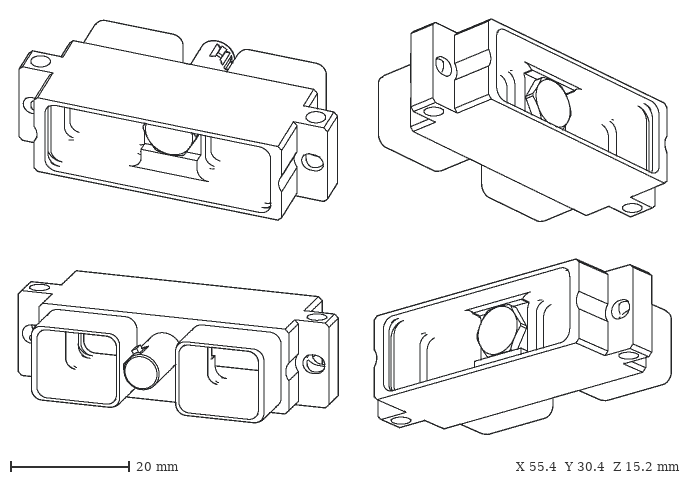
import cadquery as cq
import math


flange_length = 55.4
body_width = 44.5
body_height = 15.2
body_depth = 18.0
edge_chamfer = 0.65
flange_front = 7.8
flange_thickness = 5.05
flange_mid = flange_front + flange_thickness / 2

cross_hole_diameter = 3.3
cross_hole_x = 24.7
slot_length = 3.9
slot_height = 3.25
slot_x = 25.0
groove_height = 3.15
groove_depth = 0.55

cavity_width = 40.5
cavity_height = 13.5
corner_radius = 2.05
undercut_front = 1.55
undercut_back = 2.95
undercut_width = 41.8
undercut_radius = 2.55

post_width = 10.1
post_front = 5.7
bay_width = (cavity_width - post_width) / 2
bay_x = (cavity_width + post_width) / 4

seat_start = 8.15
seat_end = 9.25
seat_height = 12.85
seat_radius = 1.8
funnel_start = 9.85
funnel_end = 11.2
window_width = 14.2
window_height = 12.15
window_radius = 1.85

hood_x = 12.85
hood_width = 16.05
hood_height = 13.5
hood_end = 26.8
hood_bevel_length = 0.8
hood_bevel_inset = 0.15

screw_z = 1.5
rod_diameter = 6.25
rod_end = 30.35
rod_chamfer = 0.3
head_pocket_height = 8.8
head_pocket_floor = 7.55
head_flats = 8.5
head_corner_diameter = 9.55
head_chamfer = 0.3
head_turn = 30

pin_angles = (0, 60)
pin_y = 27.35
pin_length = 2.0
pin_thickness = 1.0
pin_reach = 3.75
flat_reach = 2.8
flat_outer_length = 3.8
flat_inner_length = 2.65

overlap = 0.55


def section(y):
    """Workplane at depth y with local axes X and Z; negative extrusions run towards +Y."""
    plane = cq.Plane(origin=(0, y, 0), xDir=(1, 0, 0), normal=(0, -1, 0))
    return cq.Workplane(plane)


def rounded_block(width, height, radius, y_start, y_end, x=0.0):
    """Block along Y with rounded lengthwise edges."""
    block = section(y_start).center(x, 0).rect(width, height).extrude(y_start - y_end)
    return block.edges("|Y").fillet(radius)


def rounded_funnel(front_size, back_size, y_start, y_end, x):
    """Tapered passage between two rounded rectangles given as (width, height, radius)."""
    front_profile = cq.Sketch().rect(*front_size[:2]).vertices().fillet(front_size[2])
    back_profile = cq.Sketch().rect(*back_size[:2]).vertices().fillet(back_size[2])
    front_location = cq.Location(cq.Vector(x, y_start, 0), cq.Vector(1, 0, 0), 90)
    back_location = cq.Location(cq.Vector(x, y_end, 0), cq.Vector(1, 0, 0), 90)
    return cq.Workplane().placeSketch(
        front_profile.moved(front_location), back_profile.moved(back_location)
    ).loft()


def chamfered_block(width, y_start, y_end):
    """Full-height block with its four lengthwise edges chamfered."""
    block = section(y_start).rect(width, body_height).extrude(y_start - y_end)
    return block.edges("|Y").chamfer(edge_chamfer)


def make_housing():
    housing = chamfered_block(body_width, 0, body_depth)
    groove_radius = ((groove_height / 2) ** 2 + groove_depth**2) / (2 * groove_depth)
    groove_x = body_width / 2 - groove_depth + groove_radius
    grooves = (
        section(0).pushPoints([(-groove_x, 0), (groove_x, 0)]).circle(groove_radius).extrude(-body_depth)
    )
    flange = chamfered_block(flange_length, flange_front, flange_front + flange_thickness)
    return housing.cut(grooves).union(flange)


def make_hood(x):
    """Rounded hood behind one bay, with a shallow bevel around its rear end."""
    hood = rounded_block(hood_width, hood_height, corner_radius, body_depth - overlap, hood_end, x)
    rear_edges = hood.faces(">Y").edges().vals()
    return hood.newObject([hood.val().chamfer(hood_bevel_length, hood_bevel_inset, rear_edges)])


def make_bay_passage(x):
    """Bay behind the open cavity, stepping in to the window through the hood."""
    bay_size = (bay_width, cavity_height, corner_radius)
    seat_step = (cavity_height - seat_height) / 2
    taper_size = (bay_width - 2 * seat_step, seat_height, corner_radius - seat_step)
    seat_size = (bay_width, seat_height, seat_radius)
    window_size = (window_width, window_height, window_radius)
    passage = rounded_block(*bay_size, undercut_back, seat_start, x)
    passage = passage.union(rounded_funnel(bay_size, taper_size, seat_start, seat_end, x))
    passage = passage.union(rounded_block(*seat_size, seat_start, funnel_start, x))
    passage = passage.union(rounded_funnel(seat_size, window_size, funnel_start, funnel_end, x))
    return passage.union(rounded_block(*window_size, funnel_end, hood_end + overlap, x))


def make_cavity():
    cavity = rounded_block(cavity_width, cavity_height, corner_radius, 0, post_front)
    undercut = rounded_block(undercut_width, cavity_height, undercut_radius, undercut_front, undercut_back)
    head_pocket = (
        section(post_front - overlap)
        .center(0, screw_z)
        .rect(post_width + overlap, head_pocket_height)
        .extrude(post_front - overlap - head_pocket_floor)
    )
    return cavity.union(undercut).union(head_pocket)


def make_mounting_holes():
    positions = [(-cross_hole_x, flange_mid), (cross_hole_x, flange_mid)]
    cross_holes = (
        cq.Workplane("XY")
        .pushPoints(positions)
        .circle(cross_hole_diameter / 2)
        .extrude(body_height, both=True)
    )
    slots = (
        section(flange_front)
        .pushPoints([(-slot_x, 0), (slot_x, 0)])
        .slot2D(slot_length, slot_height)
        .extrude(-flange_thickness)
    )
    return cross_holes.union(slots)


def make_pin():
    """Locking pin pointing along +X from the rod axis."""
    return cq.Workplane("XY").box(pin_reach, pin_length, pin_thickness).translate((pin_reach / 2, pin_y, 0))


def make_pin_flats():
    """Two trapezoids cut into the rod, widening away from a pin that points along +X."""
    inner_z = pin_thickness / 2
    chord_z = math.sqrt((rod_diameter / 2) ** 2 - flat_reach**2)
    flats = cq.Workplane()
    for side in (-1, 1):
        trapezoid = [
            (pin_y - flat_inner_length / 2, side * inner_z),
            (pin_y + flat_inner_length / 2, side * inner_z),
            (pin_y + flat_outer_length / 2, side * chord_z),
            (pin_y - flat_outer_length / 2, side * chord_z),
        ]
        flat = cq.Workplane("YZ", origin=(flat_reach, 0, 0)).polyline(trapezoid).close().extrude(rod_diameter)
        flats = flats.add(flat)
    return flats.combine()


def make_screw():
    """Hex-headed jackscrew, built along the Y axis."""
    head_height = head_pocket_floor - post_front
    hexagon = section(post_front).polygon(6, head_flats, circumscribed=True).extrude(-head_height)
    hexagon = hexagon.rotate((0, 0, 0), (0, 1, 0), head_turn)
    turned_blank = (
        section(post_front)
        .circle(head_corner_diameter / 2)
        .extrude(-head_height)
        .faces("<Y")
        .chamfer(head_chamfer, (head_corner_diameter - head_flats) / 2)
    )
    rod = section(head_pocket_floor).circle(rod_diameter / 2).extrude(head_pocket_floor - rod_end)
    rod = rod.faces(">Y").chamfer(rod_chamfer)
    screw = hexagon.intersect(turned_blank).union(rod)
    for angle in pin_angles:
        screw = screw.cut(make_pin_flats().rotate((0, 0, 0), (0, 1, 0), -angle))
        screw = screw.union(make_pin().rotate((0, 0, 0), (0, 1, 0), -angle))
    return screw


result = make_housing()
for side in (-1, 1):
    result = result.union(make_hood(side * hood_x))
result = result.cut(make_cavity())
for side in (-1, 1):
    result = result.cut(make_bay_passage(side * bay_x))
result = result.cut(make_mounting_holes())
result = result.union(make_screw().translate((0, 0, screw_z)))